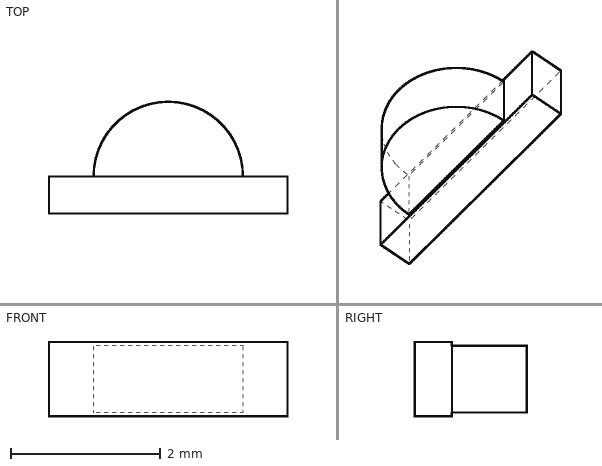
import cadquery as cq

bar_length = 3.2
bar_depth = 0.5
bar_height = 1.0

lens_radius = 1.0
lens_inset = 0.05
lens_height = bar_height - 2 * lens_inset


def make_bar():
    """Bar with its back face on the XZ plane, centred in X and Z."""
    return cq.Workplane("XY").box(bar_length, bar_depth, bar_height).translate((0, -bar_depth / 2, 0))


def make_lens():
    """Half disc standing out from the bar toward +Y."""
    return (
        cq.Workplane("XY")
        .workplane(offset=-lens_height / 2)
        .moveTo(-lens_radius, 0)
        .threePointArc((0, lens_radius), (lens_radius, 0))
        .close()
        .extrude(lens_height)
    )


result = make_bar().union(make_lens())